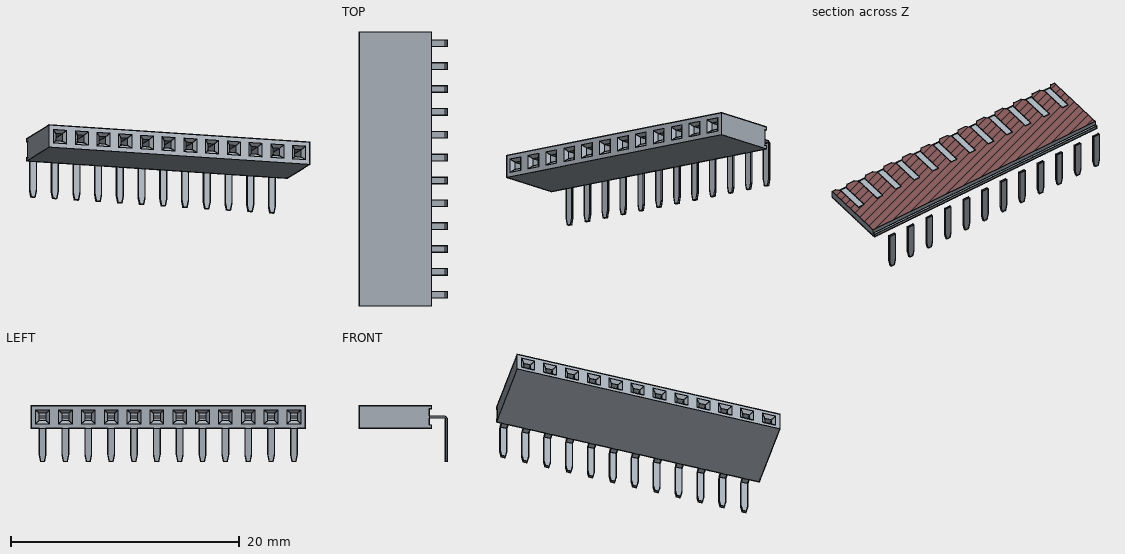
import cadquery as cq

pin_count = 12
pitch = 2.0
housing_length = 6.35
housing_width = pin_count * pitch
housing_height = 2.0

lip_thickness = 0.3
channel_depth = 0.2

mouth_size = 1.2
bore_width = 0.6
bore_height = 0.65
mouth_depth = 0.3
socket_depth = 3.0

overall_length = 7.72
overall_height = 4.9
pin_thickness = 0.2
pin_width = 0.6
pin_reach_into_bore = 1.0
bend_bevel = 0.22
tip_width = 0.35
tip_length = 0.6

housing_top = housing_height / 2
pin_bottom = housing_top - overall_height
pin_start = socket_depth - pin_reach_into_bore
pin_positions = [(i - (pin_count - 1) / 2) * pitch for i in range(pin_count)]


def make_housing():
    """Bar starting at X = 0, centred on Y and Z, with the rear channel cut."""
    bar = cq.Workplane("XY").box(
        housing_length, housing_width, housing_height, centered=(False, True, True)
    )
    channel = (
        cq.Workplane("XY")
        .box(
            channel_depth,
            housing_width,
            housing_height - 2 * lip_thickness,
            centered=(False, True, True),
        )
        .translate((housing_length - channel_depth, 0, 0))
    )
    return bar.cut(channel)


def make_socket():
    """Volume removed for one socket, on the Y = 0 centreline."""
    mouth = (
        cq.Workplane("YZ")
        .rect(mouth_size, mouth_size)
        .workplane(offset=mouth_depth)
        .rect(bore_width, bore_height)
        .loft(ruled=True)
    )
    bore = (
        cq.Workplane("YZ")
        .workplane(offset=mouth_depth)
        .rect(bore_width, bore_height)
        .extrude(socket_depth - mouth_depth)
    )
    return mouth.union(bore)


def make_pin():
    """One bent pin on the Y = 0 centreline, with a bevelled bend and a tapered tip."""
    half_thickness = pin_thickness / 2
    half_width = pin_width / 2
    half_tip = tip_width / 2
    leg_inner = overall_length - pin_thickness
    shank = (
        cq.Workplane("XZ")
        .moveTo(pin_start, half_thickness)
        .lineTo(overall_length - bend_bevel, half_thickness)
        .lineTo(overall_length, half_thickness - bend_bevel)
        .lineTo(overall_length, pin_bottom)
        .lineTo(leg_inner, pin_bottom)
        .lineTo(leg_inner, -half_thickness)
        .lineTo(pin_start, -half_thickness)
        .close()
        .extrude(half_width, both=True)
    )
    taper_top = pin_bottom + tip_length
    leg_face = cq.Workplane("YZ").workplane(offset=leg_inner)
    for side in (-1, 1):
        corner = (
            leg_face.moveTo(side * half_width, taper_top)
            .lineTo(side * half_tip, pin_bottom)
            .lineTo(side * half_width, pin_bottom)
            .close()
            .extrude(pin_thickness)
        )
        shank = shank.cut(corner)
    return shank


def build_connector():
    """Housing with a socket and a pin at every position along Y."""
    connector = make_housing()
    socket = make_socket()
    pin = make_pin()
    for y in pin_positions:
        connector = connector.cut(socket.translate((0, y, 0)))
        connector = connector.union(pin.translate((0, y, 0)))
    return connector


result = build_connector()